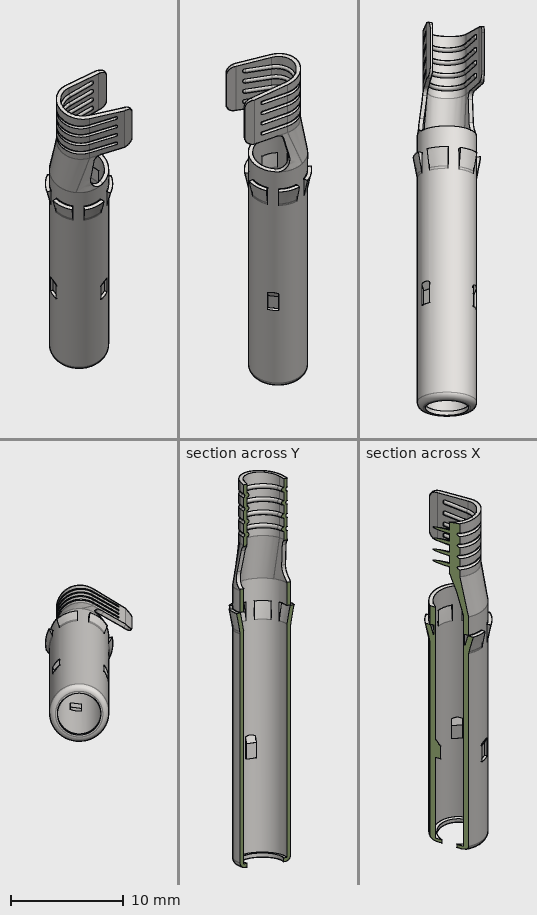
import cadquery as cq
import math

length = 35.65
wall = 0.4

barrel_radius = 2.65
bore_radius = barrel_radius - wall
barrel_top = 25.65
lip_round = 0.55
lip_opening_radius = 1.93

cradle_bottom = 29.73
floor_y = -2.0
floor_radius = 2.17
wing_lean = math.radians(7.5)
tip_start_y = 3.17
wing_tip_y = 4.03
tip_outer_x = 2.45
tip_thickness = 0.2
wing_tip_z = 34.85
wing_corner_round = 0.8

groove_count = 4
groove_pitch = 1.2
lowest_groove_z = 30.65
groove_radius = 0.18
groove_center_offset = 0.05
ridge_radius = 0.2
groove_end_y = 2.35

neck_seam_y = -1.5
neck_side_y = 1.15
opening_top_y = 0.4
opening_bottom_y = -0.5
opening_top_round = 0.7
opening_bottom_round = 1.25

tab_count = 6
tab_top = 23.55
tab_bend_z = 21.85
tab_bottom = 21.65
tab_tip_radius = 3.0
tab_overlap = 0.07
tab_angle = 38.5

tongue_count = 3
first_tongue_angle = 30
tongue_width = 1.0
tongue_top = 11.25
tongue_bend_z = 10.6
tongue_bottom = 9.15
tongue_depth = 0.3

outside = 2 * length

floor_center_y = floor_y + floor_radius


def wing_start(offset):
    """Point where the floor arc meets the +X wing, moved outward by offset."""
    radius = floor_radius + offset
    return radius * math.cos(wing_lean), floor_center_y - radius * math.sin(wing_lean)


def wing_point(offset, y):
    """Point on the face of the +X wing at height y."""
    start_x, start_y = wing_start(offset)
    return start_x + (y - start_y) * math.tan(wing_lean), y


def mirrored(point):
    return -point[0], point[1]


def cradle_line(plane, offset, end_y):
    """Open U line from the -X wing around the floor to the +X wing."""
    start = wing_start(offset)
    end = wing_point(offset, end_y)
    return (
        plane.moveTo(*mirrored(end))
        .lineTo(*mirrored(start))
        .threePointArc((0, floor_y - offset), start)
        .lineTo(*end)
    )


def make_barrel():
    outer = cq.Workplane("XY").circle(barrel_radius).extrude(barrel_top)
    outer = outer.faces("<Z").edges().fillet(lip_round)
    bore = cq.Workplane("XY").workplane(offset=wall).circle(bore_radius).extrude(barrel_top)
    opening = cq.Workplane("XY").circle(lip_opening_radius).extrude(barrel_top)
    return outer.cut(bore).cut(opening)


def make_cradle():
    inner_start = wing_start(-wall)
    inner_end = wing_point(-wall, tip_start_y)
    inner_tip = (tip_outer_x - tip_thickness, wing_tip_y)
    outer_tip = (tip_outer_x, wing_tip_y)
    section = (
        cradle_line(cq.Workplane("XY").workplane(offset=cradle_bottom), 0, tip_start_y)
        .lineTo(*outer_tip)
        .lineTo(*inner_tip)
        .lineTo(*inner_end)
        .lineTo(*inner_start)
        .threePointArc((0, floor_y + wall), mirrored(inner_start))
        .lineTo(*mirrored(inner_end))
        .lineTo(*mirrored(inner_tip))
        .lineTo(*mirrored(outer_tip))
        .close()
        .extrude(length - cradle_bottom)
    )
    side_outline = (
        cq.Workplane("YZ")
        .moveTo(floor_y, cradle_bottom)
        .lineTo(wing_tip_y, cradle_bottom)
        .lineTo(wing_tip_y, wing_tip_z)
        .lineTo(floor_y, length)
        .close()
        .extrude(outside, both=True)
        .edges("|X and >Y")
        .fillet(wing_corner_round)
    )
    return section.intersect(side_outline)


def round_bar(radius, offset, z):
    """Round bar that follows the cradle at height z, and the two balls that end it."""
    path = cradle_line(cq.Workplane("XY").workplane(offset=z), offset, groove_end_y)
    end = wing_point(offset, groove_end_y)
    profile_plane = cq.Plane(
        origin=(-end[0], end[1], z),
        xDir=(0, 0, 1),
        normal=(math.sin(wing_lean), -math.cos(wing_lean), 0),
    )
    bar = cq.Workplane(profile_plane).circle(radius).sweep(path)
    ball = cq.Workplane("XY").sphere(radius)
    return [bar] + [ball.translate((x, y, z)) for x, y in (end, mirrored(end))]


def swage_cradle(cradle):
    for index in range(groove_count):
        z = lowest_groove_z + index * groove_pitch
        for piece in round_bar(ridge_radius, -wall, z):
            cradle = cradle.union(piece)
        for piece in round_bar(groove_radius, groove_center_offset, z):
            cradle = cradle.cut(piece)
    return cradle


def neck_loft(inset, side_y):
    """Solid that blends from the barrel circle up to the cradle U, shrunk by inset."""
    radius = barrel_radius - inset
    seam_y = neck_seam_y * radius / barrel_radius
    seam = (math.sqrt(radius**2 - seam_y**2), seam_y)
    side = (math.sqrt(radius**2 - side_y**2), side_y)
    lower = (
        cq.Workplane("XY")
        .workplane(offset=barrel_top)
        .moveTo(*mirrored(side))
        .threePointArc((-radius, 0), mirrored(seam))
        .threePointArc((0, -radius), seam)
        .threePointArc((radius, 0), side)
        .close()
    )
    upper_plane = lower.workplane(offset=cradle_bottom - barrel_top)
    return cradle_line(upper_plane, -inset, side_y).close().loft(ruled=True)


def make_neck():
    neck = neck_loft(0, neck_side_y).cut(neck_loft(wall, neck_side_y + wall))
    opening = (
        cq.Workplane("YZ")
        .moveTo(opening_bottom_y, barrel_top)
        .lineTo(opening_top_y, cradle_bottom)
        .lineTo(outside, cradle_bottom)
        .lineTo(outside, barrel_top)
        .close()
        .extrude(outside, both=True)
    )
    low_corner = cq.selectors.NearestToPointSelector((0, opening_bottom_y, barrel_top))
    high_corner = cq.selectors.NearestToPointSelector((0, opening_top_y, cradle_bottom))
    opening = opening.edges("|X").edges(low_corner).fillet(opening_bottom_round)
    opening = opening.edges("|X").edges(high_corner).fillet(opening_top_round)
    return neck.cut(opening)


def revolved_sector(points, angle):
    """Sector turned about Z from (radius, z) points, centred on +X."""
    sector = cq.Workplane("XZ").polyline(points).close().revolve(angle, (0, 0), (0, 1))
    return sector.rotate((0, 0, 0), (0, 0, 1), -angle / 2)


def add_tabs(body):
    tab = revolved_sector(
        [
            (bore_radius, tab_bottom),
            (barrel_radius, tab_bottom),
            (barrel_radius + tab_overlap / 2, tab_bend_z),
            (tab_tip_radius, tab_top),
            (bore_radius, tab_top),
        ],
        tab_angle,
    )
    recess = revolved_sector(
        [
            (bore_radius, tab_bend_z),
            (barrel_radius - tab_overlap, tab_top),
            (bore_radius, tab_top),
        ],
        tab_angle,
    )
    tab = tab.cut(recess)
    for index in range(tab_count):
        angle = index * 360 / tab_count
        body = body.cut(recess.rotate((0, 0, 0), (0, 0, 1), angle))
        body = body.union(tab.rotate((0, 0, 0), (0, 0, 1), angle))
    return body


def press_tongues(body):
    pressed_radius = barrel_radius - tongue_depth
    backing_points = [
        (pressed_radius, tongue_bottom),
        (pressed_radius - wall, tongue_bottom),
        (pressed_radius - wall, tongue_bend_z),
        (bore_radius, tongue_top),
        (pressed_radius, tongue_top),
    ]
    recess_points = [
        (pressed_radius, tongue_bottom),
        (pressed_radius, tongue_bend_z),
        (barrel_radius, tongue_top),
        (barrel_radius + wall, tongue_top),
        (barrel_radius + wall, tongue_bottom),
    ]
    half_width = tongue_width / 2
    backing = cq.Workplane("XZ").polyline(backing_points).close().extrude(half_width, both=True)
    recess = cq.Workplane("XZ").polyline(recess_points).close().extrude(half_width, both=True)
    for index in range(tongue_count):
        angle = first_tongue_angle + index * 360 / tongue_count
        body = body.union(backing.rotate((0, 0, 0), (0, 0, 1), angle))
        body = body.cut(recess.rotate((0, 0, 0), (0, 0, 1), angle))
    return body


barrel = press_tongues(add_tabs(make_barrel()))
cradle = swage_cradle(make_cradle())
result = barrel.union(make_neck()).union(cradle).solids()